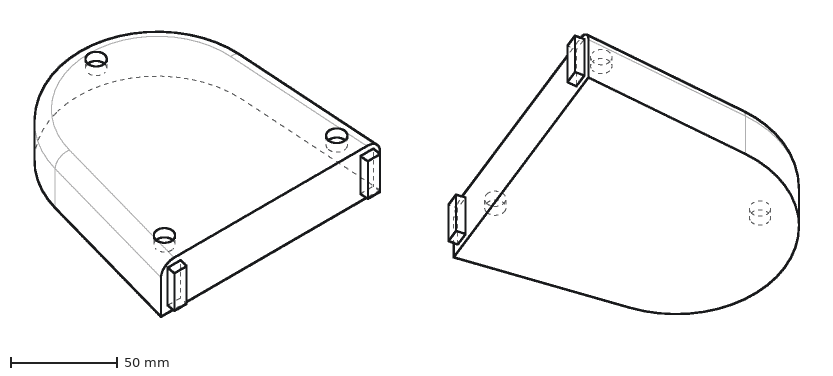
import cadquery as cq
import math

total_length = 145.5
end_width = 134.6
height = 33.5

tab_length = 5.0
body_length = total_length - tab_length
nose_radius = 57.9
edge_radius = 8.0

hole_diameter = 10.0
hole_depth = 6.0
nose_hole_x = 13.1
end_hole_inset = 14.5
end_hole_y = 53.0

tab_width = 8.0
tab_tip_width = 7.5
tab_side_inset = 4.1
tab_bottom = 5.0
tab_top_inset = 4.1
tab_height = height - tab_bottom - tab_top_inset


def make_body():
    """Tangent-sided plate with a rounded top edge, its nose tip at the origin."""
    half_width = end_width / 2
    corner_dx = body_length - nose_radius
    corner_distance = math.hypot(corner_dx, half_width)
    touch_angle = math.atan2(half_width, corner_dx) + math.acos(nose_radius / corner_distance)
    touch_x = nose_radius + nose_radius * math.cos(touch_angle)
    touch_y = nose_radius * math.sin(touch_angle)

    plate = (
        cq.Workplane("XY")
        .moveTo(body_length, -half_width)
        .lineTo(body_length, half_width)
        .lineTo(touch_x, touch_y)
        .threePointArc((0, 0), (touch_x, -touch_y))
        .close()
        .extrude(height)
    )
    return plate.faces(">Z").edges("not >X").fillet(edge_radius)


def make_holes():
    """Cutters for the three blind holes."""
    end_hole_x = body_length - end_hole_inset
    centers = [(nose_hole_x, 0), (end_hole_x, end_hole_y), (end_hole_x, -end_hole_y)]
    return (
        cq.Workplane("XY", origin=(0, 0, height - hole_depth))
        .pushPoints(centers)
        .circle(hole_diameter / 2)
        .extrude(hole_depth)
    )


def make_tab(side):
    """Tab on the flat end, its inner face tapering to the tip; side is +1 or -1 along Y."""
    outer_y = end_width / 2 - tab_side_inset
    return (
        cq.Workplane("XY", origin=(0, 0, tab_bottom))
        .moveTo(body_length, side * outer_y)
        .lineTo(total_length, side * outer_y)
        .lineTo(total_length, side * (outer_y - tab_tip_width))
        .lineTo(body_length, side * (outer_y - tab_width))
        .close()
        .extrude(tab_height)
    )


result = make_body().cut(make_holes())
for side in (1, -1):
    result = result.union(make_tab(side))